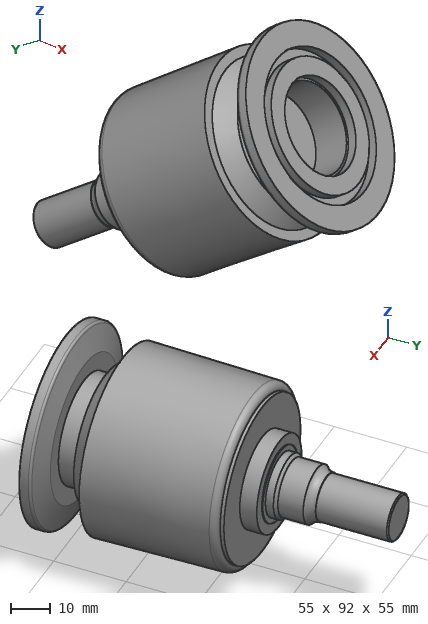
import cadquery as cq
import math

total_length = 92.0

flange_radius = 27.5
rim_thickness = 2.5
flange_thickness = 5.1
flange_slope = math.radians(15)
flange_round = 0.7
round_drop = flange_round * (1 - math.cos(math.pi / 2 - flange_slope))
round_rise = flange_round * math.sin(math.pi / 2 - flange_slope)
round_middle_angle = (math.pi / 2 - flange_slope) / 2
slope_start_radius = flange_radius - round_drop
slope_start_y = rim_thickness + round_rise
flange_back_radius = slope_start_radius - (flange_thickness - slope_start_y) / math.tan(flange_slope)

neck_radius = 15.1
neck_end = 10.95
cone_small_radius = 18.7
cone_large_radius = 22.8
body_start = 15.7
body_start_radius = 25.7
body_end_radius = 25.0
body_end = 53.3
body_round = 2.0
cap_radius = 22.6
cap_end = 54.3

collar_radius = 13.25
collar_end = 59.0
lip_radius = 10.3
lip_end = 59.25
sleeve_radius = 8.7
sleeve_chamfer = 0.8
sleeve_end = 62.3
stem_radius = 7.9
stem_flare_start = 69.3
stem_tip_radius = 6.5
stem_end = 72.0
flare_width = stem_radius - stem_tip_radius
flare_length = stem_end - stem_flare_start
flare_arc_radius = (flare_width**2 + flare_length**2) / (2 * flare_width)
shaft_radius = 6.35
shaft_chamfer = 0.4

groove_outer_radius = 20.7
groove_inner_radius = 18.1
groove_depth = 2.6
mouth_radius = 13.2
mouth_depth = 2.6
bore_radius = 12.5
bore_depth = 13.0


def turned_body():
    """Revolve the outer profile, drawn as (radius, Y), about the Y axis."""
    profile = (
        cq.Workplane("XY")
        .lineTo(flange_radius, 0)
        .lineTo(flange_radius, rim_thickness)
        .threePointArc(
            (
                flange_radius - flange_round * (1 - math.cos(round_middle_angle)),
                rim_thickness + flange_round * math.sin(round_middle_angle),
            ),
            (slope_start_radius, slope_start_y),
        )
        .lineTo(flange_back_radius, flange_thickness)
        .lineTo(neck_radius, flange_thickness)
        .lineTo(neck_radius, neck_end)
        .lineTo(cone_small_radius, neck_end)
        .lineTo(cone_large_radius, body_start)
        .lineTo(body_start_radius, body_start)
        .lineTo(body_end_radius, body_end - body_round)
        .radiusArc((body_end_radius - body_round, body_end), -body_round)
        .lineTo(cap_radius, body_end)
        .lineTo(cap_radius, cap_end)
        .lineTo(collar_radius, cap_end)
        .lineTo(collar_radius, collar_end)
        .lineTo(lip_radius, collar_end)
        .lineTo(lip_radius, lip_end)
        .lineTo(sleeve_radius, lip_end)
        .lineTo(sleeve_radius, sleeve_end - sleeve_chamfer)
        .lineTo(stem_radius, sleeve_end)
        .lineTo(stem_radius, stem_flare_start)
        .radiusArc((stem_tip_radius, stem_end), flare_arc_radius)
        .lineTo(shaft_radius, stem_end)
        .lineTo(shaft_radius, total_length - shaft_chamfer)
        .lineTo(shaft_radius - shaft_chamfer, total_length)
        .lineTo(0, total_length)
        .close()
    )
    return profile.revolve(360, (0, 0, 0), (0, 1, 0))


def face_cylinder(radius, depth):
    """Cylinder reaching from the flange face into the part."""
    return cq.Workplane("XZ").circle(radius).extrude(-depth)


groove = face_cylinder(groove_outer_radius, groove_depth).cut(
    face_cylinder(groove_inner_radius, groove_depth)
)
mouth = face_cylinder(mouth_radius, mouth_depth)
bore = face_cylinder(bore_radius, bore_depth)

result = turned_body().cut(groove).cut(mouth).cut(bore)